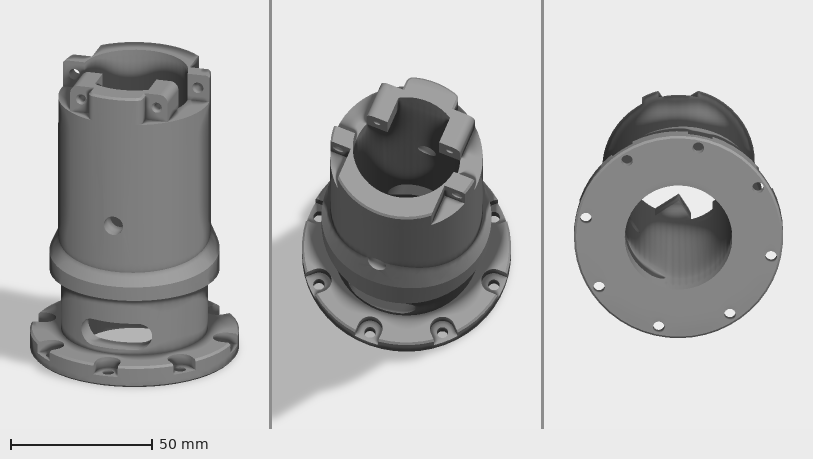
import cadquery as cq
import math

height = 106.3
flange_thickness = 8.0
collar_bottom = 30.4
crown_depth = 10.0
crown_floor = height - crown_depth

flange_radius = 37.0
neck_radius = 26.0
collar_radius = 30.1
tube_radius = 27.0
bore_radius = 19.0
rim_chamfer = 0.7

cone_base_radius = 33.7
cone_top_level = 63.8
cone_top_radius = 18.1
cone_top_offset = 8.0
cone_heading = 9.0

screw_count = 8
screw_circle_radius = 33.5
screw_hole_diameter = 4.0
seat_radius = 4.5
seat_floor = 3.9

slot_length = 26.0
slot_height = 10.0
slot_level = 15.0
cross_hole_diameter = 7.0
cross_hole_level = 57.4

lug_outer_x = 18.0
lug_inner_x = 9.9
lug_front_y = -19.8
lug_fillet = 3.0
tongue_fillet = 2.8
lug_back_y = -math.sqrt(bore_radius**2 - lug_outer_x**2)
post_front_y = 2.0
post_back_y = 8.1
post_hole_x = 22.8
post_hole_diameter = 4.0
lug_hole_x = 13.9
lug_hole_diameter = 2.5
lug_countersink_diameter = 3.8
countersink_half_angle = 45
crown_hole_level = height - crown_depth / 2


def cylinder(radius, bottom, top):
    return cq.Workplane("XY").workplane(offset=bottom).circle(radius).extrude(top - bottom)


def box(x_range, y_range, z_range):
    (x0, x1), (y0, y1), (z0, z1) = x_range, y_range, z_range
    return cq.Workplane("XY").box(x1 - x0, y1 - y0, z1 - z0, centered=False).translate((x0, y0, z0))


def along_y(x, z, y_from=-flange_radius):
    """Workplane facing +Y, centred on the given X and Z and starting at y_from."""
    return cq.Workplane(cq.Plane((x, y_from, z), (1, 0, 0), (0, 1, 0)))


def both_sides(solid):
    """The solid together with its mirror image across X = 0."""
    return solid.union(solid.mirror("YZ"))


def make_flange():
    """Base disc with U-shaped screw seats open to the rim."""
    flange = cylinder(flange_radius, 0, flange_thickness).edges().chamfer(rim_chamfer)
    seat = cylinder(seat_radius, seat_floor, flange_thickness).translate((screw_circle_radius, 0, 0))
    mouth = box(
        (screw_circle_radius, flange_radius + seat_radius),
        (-seat_radius, seat_radius),
        (seat_floor, flange_thickness),
    )
    hole = cylinder(screw_hole_diameter / 2, 0, flange_thickness).translate((screw_circle_radius, 0, 0))
    cutter = seat.union(mouth).union(hole)
    for index in range(screw_count):
        flange = flange.cut(cutter.rotate((0, 0, 0), (0, 0, 1), index * 360 / screw_count))
    return flange


def make_collar():
    """Thick ring whose top is trimmed by an oblique cone leaning to the back."""
    cone = (
        cq.Workplane("XY", origin=(0, 0, collar_bottom))
        .circle(cone_base_radius)
        .workplane(offset=cone_top_level - collar_bottom)
        .center(0, cone_top_offset)
        .circle(cone_top_radius)
        .loft(ruled=True)
        .rotate((0, 0, 0), (0, 0, 1), cone_heading)
    )
    return cylinder(collar_radius, collar_bottom, cone_top_level).intersect(cone)


def make_tongue_gap():
    """Cutter for the pocket beside the front tongue, on the +X side.

    Its inner edge runs along the tongue's flank and flares out through a
    rounded corner tangent to the flank and to the tube surface.
    """
    centre_x = lug_inner_x - tongue_fillet
    centre_y = -math.sqrt((tube_radius - tongue_fillet) ** 2 - centre_x**2)
    touch_scale = tube_radius / (tube_radius - tongue_fillet)
    touch = (centre_x * touch_scale, centre_y * touch_scale)
    half_turn = math.atan2(touch[1] - centre_y, touch[0] - centre_x) / 2
    arc_middle = (
        centre_x + tongue_fillet * math.cos(half_turn),
        centre_y + tongue_fillet * math.sin(half_turn),
    )
    return (
        cq.Workplane("XY", origin=(0, 0, crown_floor))
        .moveTo(lug_inner_x, lug_front_y)
        .lineTo(lug_inner_x, centre_y)
        .threePointArc(arc_middle, touch)
        .lineTo(touch[0], -flange_radius)
        .lineTo(flange_radius, -flange_radius)
        .lineTo(flange_radius, lug_front_y)
        .close()
        .extrude(crown_depth)
    )


def make_crown():
    """Back wall, side posts, front tongue and lugs that stand above the crown floor."""
    crown_z = (crown_floor, height)
    beyond = flange_radius
    crown = cylinder(tube_radius, crown_floor, height).cut(both_sides(make_tongue_gap()))
    crown = crown.faces(">Z").edges("not |X").chamfer(rim_chamfer)
    back_pocket = box((lug_outer_x, beyond), (post_back_y, beyond), crown_z)
    side_opening = box((lug_outer_x, beyond), (-beyond, post_front_y), crown_z)
    lug = box((lug_inner_x, lug_outer_x), (lug_front_y, lug_back_y), crown_z)
    crown = (
        crown.cut(both_sides(back_pocket.union(side_opening)))
        .cut(cylinder(bore_radius, crown_floor, height))
        .union(both_sides(lug))
    )
    return crown.cut(both_sides(make_lug_rounding()))


def make_lug_rounding():
    """Cutter that rounds the outer top edge of the +X lug."""
    centre_x = lug_outer_x - lug_fillet
    centre_z = height - lug_fillet
    lug_y = (lug_front_y, lug_back_y)
    corner = box((centre_x, lug_outer_x), lug_y, (centre_z, height))
    lug_length = lug_back_y - lug_front_y
    round_bar = along_y(centre_x, centre_z, lug_front_y).circle(lug_fillet).extrude(lug_length)
    return corner.cut(round_bar)


def make_body():
    """Stacked round sections with the bore, carrying the crown on top."""
    body = (
        make_flange()
        .union(cylinder(neck_radius, 0, collar_bottom))
        .union(make_collar())
        .union(cylinder(tube_radius, collar_bottom, crown_floor))
        .cut(cylinder(bore_radius, 0, height))
    )
    return body.union(make_crown())


def cut_windows(body):
    """Slot and round cross hole through the front and back walls."""
    slot = along_y(0, slot_level).slot2D(slot_length, slot_height).extrude(2 * flange_radius)
    hole = along_y(0, cross_hole_level).circle(cross_hole_diameter / 2).extrude(2 * flange_radius)
    return body.cut(slot).cut(hole)


def cut_crown_holes(body):
    """Plain holes in the posts and countersunk holes in the lugs."""
    post_hole = (
        along_y(post_hole_x, crown_hole_level, 0)
        .circle(post_hole_diameter / 2)
        .extrude(post_back_y)
    )
    lug_face = along_y(lug_hole_x, crown_hole_level, lug_front_y)
    lug_hole = lug_face.circle(lug_hole_diameter / 2).extrude(lug_back_y - lug_front_y)
    sink_step = (lug_countersink_diameter - lug_hole_diameter) / 2
    sink_depth = sink_step / math.tan(math.radians(countersink_half_angle))
    sink = lug_face.circle(lug_countersink_diameter / 2).extrude(sink_depth, taper=countersink_half_angle)
    for cutter in (post_hole, lug_hole, sink):
        body = body.cut(both_sides(cutter))
    return body


result = cut_crown_holes(cut_windows(make_body()))